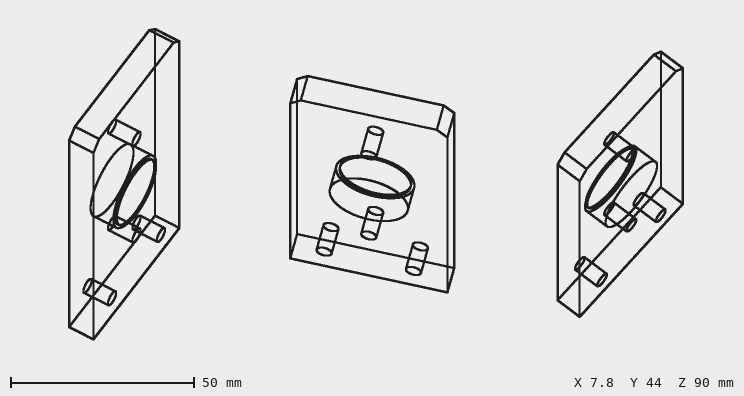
import cadquery as cq

thickness = 7.8
width = 44.0
height = 90.0
corner_chamfer = 3.0

bore_height = 42.5
seat_diameter = 22.0
lip_diameter = 20.0
lip_thickness = 0.5
seat_depth = thickness - lip_thickness

screw_diameter = 4.2
lower_center_height = 22.5
upper_center_height = 67.5
base_screw_height = 8.0
base_screw_spacing = 25.0
screw_positions = [
    (0, lower_center_height),
    (0, upper_center_height),
    (-base_screw_spacing / 2, base_screw_height),
    (base_screw_spacing / 2, base_screw_height),
]


def cylinder_along_x(diameter, length, y, z):
    """Cylinder starting on the -X face and running toward +X."""
    return (
        cq.Workplane("YZ")
        .center(y, z)
        .circle(diameter / 2)
        .extrude(length)
    )


plate = cq.Workplane("XY").box(thickness, width, height, centered=(False, True, False))
plate = plate.faces(">Z").edges("|X").chamfer(corner_chamfer)

plate = plate.cut(cylinder_along_x(lip_diameter, thickness, 0, bore_height))
plate = plate.cut(cylinder_along_x(seat_diameter, seat_depth, 0, bore_height))

for y, z in screw_positions:
    plate = plate.cut(cylinder_along_x(screw_diameter, thickness, y, z))

result = plate